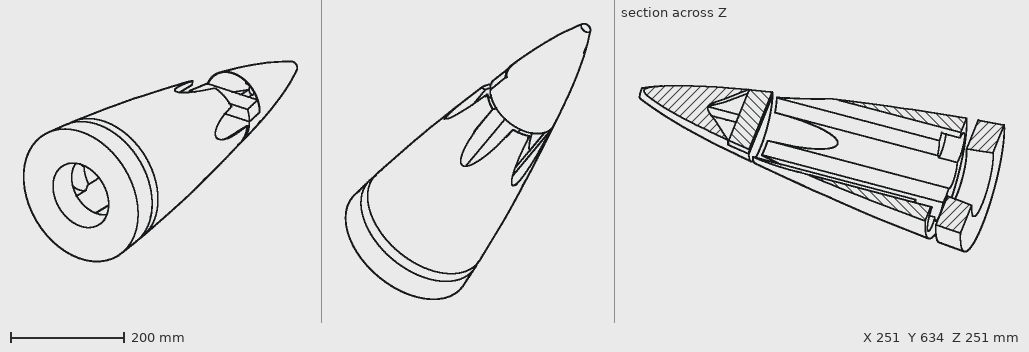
import cadquery as cq

ring_length = 47.6
body_rear = 67.7
upper_finger_end = 368.0
lower_finger_end = 404.4
nose_rear = 411.8
nose_step = 453.9
tip = 633.97

max_radius = 125.5
tip_radius = 9.6
ogive = [(max_radius, 0), (103.0, 200.0), (69.6, 400.0), (45.5, 520.0), (22.5, 600.0), (tip_radius, tip)]

ring_bore_rear_radius = 61.0
ring_bore_front_radius = 55.0

body_bore_radius = 68.0
hole_count = 5
hole_radius = 25.5
hole_circle_radius = 64.0
first_hole_angle = 90.0
half_pitch = 180.0 / hole_count
pocket_radius = 28.0
pocket_circle_radius = 82.0
pocket_end = 102.0
right_pocket_angle = first_hole_angle - 3 * half_pitch
pocket_angles = [right_pocket_angle, 180.0 - right_pocket_angle]

cavity_mouth_radius = 58.5
cavity_throat_radius = 26.8
cavity_throat_depth = 34.0
cavity_end_depth = 60.0
groove_radius = 8.5

bar_height = 23.0
bar_clearance = 1.2


def revolve_about_axis(profile):
    return profile.close().revolve(360, (0, 0, 0), (0, 1, 0))


def axial_cylinder(radius, y_start, y_end, x=0, z=0):
    """Cylinder parallel to the Y axis between two stations."""
    plane = cq.Workplane("XZ", origin=(0, y_start, 0))
    return plane.center(x, z).circle(radius).extrude(y_start - y_end)


def slab(y_start, y_end, z_start=-max_radius, z_end=max_radius):
    """Block wider than the part, between two stations and two heights."""
    block = cq.Workplane("XY").box(
        3 * max_radius, y_end - y_start, z_end - z_start, centered=(True, False, False)
    )
    return block.translate((0, y_start, z_start))


def ogive_slice(y_start, y_end):
    """Solid length of the ogive between two stations."""
    profile = cq.Workplane("XY").lineTo(*ogive[0]).spline(ogive[1:], includeCurrent=True).lineTo(0, tip)
    return revolve_about_axis(profile).intersect(slab(y_start, y_end))


def make_ring():
    bore_profile = (
        cq.Workplane("XY")
        .lineTo(ring_bore_rear_radius, 0)
        .lineTo(ring_bore_front_radius, ring_length)
        .lineTo(0, ring_length)
    )
    return ogive_slice(0, ring_length).cut(revolve_about_axis(bore_profile))


def make_body_cavity():
    """Central bore joined with the lengthwise holes and the blind rear pockets."""
    cavity = axial_cylinder(body_bore_radius, 0, tip)
    hole_centers = cq.Workplane("XZ").polarArray(hole_circle_radius, first_hole_angle, 360, hole_count)
    cavity = cavity.union(hole_centers.circle(hole_radius).extrude(-tip))
    for angle in pocket_angles:
        pocket = axial_cylinder(pocket_radius, 0, pocket_end, x=pocket_circle_radius)
        cavity = cavity.union(pocket.rotate((0, 0, 0), (0, 1, 0), -angle))
    return cavity


def make_body():
    """Fluted shell ending in five fingers, the upper two cut shorter."""
    body = ogive_slice(body_rear, lower_finger_end).cut(make_body_cavity())
    return body.cut(slab(upper_finger_end, tip, bar_height))


def make_nose():
    cavity_end = nose_step + cavity_end_depth
    cavity_profile = (
        cq.Workplane("XY")
        .moveTo(0, nose_step)
        .lineTo(cavity_mouth_radius, nose_step)
        .lineTo(cavity_throat_radius, nose_step + cavity_throat_depth)
        .lineTo(groove_radius, cavity_end)
        .lineTo(0, cavity_end)
    )
    upper_half = slab(nose_step, tip, 0)
    cavity = revolve_about_axis(cavity_profile).intersect(upper_half)
    nose = ogive_slice(nose_rear, tip).cut(slab(nose_rear, nose_step, 0))
    return nose.cut(cavity).cut(axial_cylinder(groove_radius, nose_step, cavity_end))


def make_bar():
    """Flat-topped bar whose ends follow the ogive."""
    bar_front = nose_step - bar_clearance
    return ogive_slice(nose_rear, bar_front).intersect(slab(nose_rear, bar_front, 0, bar_height))


ring = make_ring()
body = make_body()
nose = make_nose()
bar = make_bar()

bodies = [ring, body, nose, bar]
result = cq.Compound.makeCompound([part.solids().val() for part in bodies])